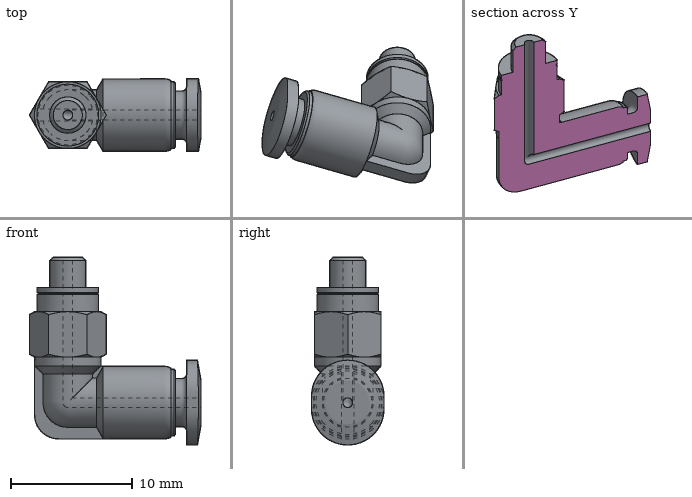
import cadquery as cq
import math


OVERLAP = 0.5

pipe_radius = 4.2 / 2
bore_radius = 0.8 / 2

rib_thickness = 1.0
rib_corner_radius = 2.0

base_radius = 5.5 / 2
base_bottom_z = 3.0
base_cone_angle = 45.0
hex_bottom_z = 3.75
hex_top_z = 7.5
hex_across_flats = 5.5
hex_chamfer_radius = hex_across_flats / 2
hex_chamfer_angle = 30.0
collar_radius = 5.1 / 2
collar_top_z = 9.5
groove_center_z = 9.0
groove_depth = 0.1
spigot_radius = 3.0 / 2
spigot_top_z = 12.0
spigot_chamfer = 0.3

body_radius = 6.0 / 2
body_start_x = 2.9
body_cone_angle = 60.0
shoulder_start_x = 8.0
shoulder_end_x = 8.5
shoulder_radius = 2.85
ring_radius = 5.54 / 2
ring_end_x = 8.9
ring_chamfer = 0.15

button_neck_radius = 4.0 / 2
button_fillet = 0.4
button_start_x = 9.8
button_rim_end_x = 10.7
button_end_x = 11.0
button_width = 6.0
button_height = 7.0
button_face_radius = 3.6 / 2


def revolve_about_z(profile):
    """Revolve an XZ profile about the stud axis."""
    return profile.close().revolve(360, (0, 0, 0), (0, 1, 0))


def revolve_about_x(profile):
    """Revolve an XZ profile about the socket axis."""
    return profile.close().revolve(360, (0, 0, 0), (1, 0, 0))


def round_elbow(radius, top_z, end_x):
    """Vertical and horizontal cylinders joined by a ball at the corner."""
    vertical = cq.Workplane("XY").circle(radius).extrude(top_z)
    horizontal = cq.Workplane("YZ").circle(radius).extrude(end_x)
    return vertical.union(horizontal).union(cq.Workplane("XY").sphere(radius))


def make_rib():
    """Flat plate in the plane of both axes, rounded at the outer corner."""
    left_x = -base_radius
    bottom_z = -body_radius
    length = body_start_x - left_x
    height = base_bottom_z - bottom_z
    plate = cq.Workplane("XY").box(length, rib_thickness, height, centered=(False, True, False))
    plate = plate.translate((left_x, 0, bottom_z))
    return plate.edges("|Y and <X and <Z").fillet(rib_corner_radius)


def make_stud():
    """Turned stud: cone, base, grooved collar and chamfered spigot."""
    cone_height = (base_radius - pipe_radius) / math.tan(math.radians(base_cone_angle))
    profile = (
        cq.Workplane("XZ")
        .moveTo(0, base_bottom_z - cone_height)
        .lineTo(pipe_radius, base_bottom_z - cone_height)
        .lineTo(base_radius, base_bottom_z)
        .lineTo(base_radius, hex_bottom_z)
        .lineTo(collar_radius, hex_bottom_z)
        .lineTo(collar_radius, groove_center_z - groove_depth)
        .lineTo(collar_radius - groove_depth, groove_center_z)
        .lineTo(collar_radius, groove_center_z + groove_depth)
        .lineTo(collar_radius, collar_top_z)
        .lineTo(spigot_radius, collar_top_z)
        .lineTo(spigot_radius, spigot_top_z - spigot_chamfer)
        .lineTo(spigot_radius - spigot_chamfer, spigot_top_z)
        .lineTo(0, spigot_top_z)
    )
    return revolve_about_z(profile)


def make_hex_nut():
    """Hexagon with corners on X, chamfered conically at both ends."""
    corner_radius = hex_across_flats / math.sqrt(3)
    cone_radius = corner_radius + OVERLAP
    cone_drop = (cone_radius - hex_chamfer_radius) * math.tan(math.radians(hex_chamfer_angle))
    hexagon = (
        cq.Workplane("XY")
        .workplane(offset=hex_bottom_z)
        .polygon(6, 2 * corner_radius)
        .extrude(hex_top_z - hex_bottom_z)
    )
    envelope = (
        cq.Workplane("XZ")
        .moveTo(0, hex_bottom_z)
        .lineTo(hex_chamfer_radius, hex_bottom_z)
        .lineTo(cone_radius, hex_bottom_z + cone_drop)
        .lineTo(cone_radius, hex_top_z - cone_drop)
        .lineTo(hex_chamfer_radius, hex_top_z)
        .lineTo(0, hex_top_z)
    )
    return hexagon.intersect(revolve_about_z(envelope))


def make_socket_body():
    """Turned socket body with entry cone, rounded shoulder, end ring and button neck."""
    cone_length = (body_radius - pipe_radius) / math.tan(math.radians(body_cone_angle))
    fillet_start_x = button_start_x - button_fillet
    profile = (
        cq.Workplane("XZ")
        .moveTo(body_start_x - cone_length, 0)
        .lineTo(body_start_x - cone_length, pipe_radius)
        .lineTo(body_start_x, body_radius)
        .lineTo(shoulder_start_x, body_radius)
        .tangentArcPoint((shoulder_end_x, shoulder_radius), relative=False)
        .lineTo(shoulder_end_x, ring_radius)
        .lineTo(ring_end_x - ring_chamfer, ring_radius)
        .lineTo(ring_end_x, ring_radius - ring_chamfer)
        .lineTo(ring_end_x, button_neck_radius)
        .lineTo(fillet_start_x, button_neck_radius)
        .tangentArcPoint((button_start_x, button_neck_radius + button_fillet), relative=False)
        .lineTo(button_start_x, 0)
    )
    return revolve_about_x(profile)


def make_button():
    """Oval release button, taller along Z, with a conical outer face."""
    rim_radius = button_height / 2
    oval = (
        cq.Workplane("YZ")
        .workplane(offset=button_start_x)
        .slot2D(button_height, button_width, 90)
        .extrude(button_end_x - button_start_x)
    )
    cone_slope = (button_end_x - button_rim_end_x) / (rim_radius - button_face_radius)
    cone_radius = rim_radius + OVERLAP
    envelope = (
        cq.Workplane("XZ")
        .moveTo(button_start_x - OVERLAP, 0)
        .lineTo(button_start_x - OVERLAP, cone_radius)
        .lineTo(button_rim_end_x - OVERLAP * cone_slope, cone_radius)
        .lineTo(button_end_x, button_face_radius)
        .lineTo(button_end_x, 0)
    )
    return oval.intersect(revolve_about_x(envelope))


pipe = round_elbow(pipe_radius, base_bottom_z, body_start_x)
bore = round_elbow(bore_radius, spigot_top_z, button_end_x)

result = (
    pipe.union(make_rib())
    .union(make_stud())
    .union(make_hex_nut())
    .union(make_socket_body())
    .union(make_button())
    .cut(bore)
)